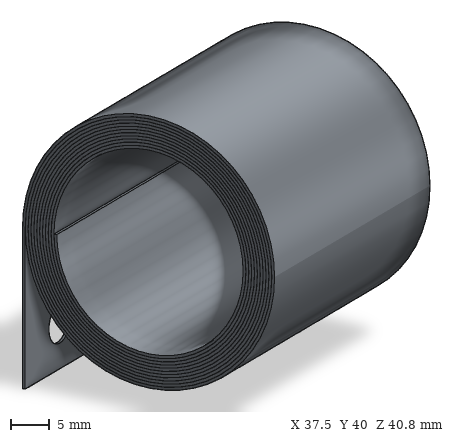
import cadquery as cq

strip_width = 40.0
strip_thickness = 0.4
coil_gap = 0.02
turns = 11
coil_radius = 18.75
tail_length = 22.0

hole_diameter = 5.5
hole_spacing = 22.2
hole_height = 6.27

pitch = strip_thickness + coil_gap
radius_step = pitch / 2
half_turns = 2 * turns


def half_turn(index):
    """Return centre X, outer radius and side (+1 upper, -1 lower) of one half turn."""
    if index % 2 == 0:
        return 0.0, coil_radius - index * radius_step, 1
    return radius_step, coil_radius - index * radius_step, -1


def add_half_turn(outline, index, inset, direction):
    """Draw one half turn, inset from the outer face; direction +1 winds inward."""
    center, outer_radius, side = half_turn(index)
    radius = outer_radius - inset
    end = center + direction * side * radius
    return outline.threePointArc((center, side * radius), (end, 0))


def spring_outline():
    """Follow the outer face inward, then return along the inner face."""
    outline = cq.Workplane("XZ", origin=(0, strip_width / 2, 0))
    outline = outline.moveTo(-coil_radius, -tail_length).lineTo(-coil_radius, 0)
    for index in range(half_turns):
        outline = add_half_turn(outline, index, 0, 1)

    center, outer_radius, _ = half_turn(half_turns - 1)
    outline = outline.lineTo(center - outer_radius + strip_thickness, 0)
    for index in reversed(range(half_turns)):
        outline = add_half_turn(outline, index, strip_thickness, -1)
    return outline.lineTo(-coil_radius + strip_thickness, -tail_length).close()


def tail_holes():
    """Make cutters that reach through the tail only, not the coil behind it."""
    hole_z = hole_height - tail_length
    return (
        cq.Workplane("YZ", origin=(-coil_radius, 0, hole_z))
        .pushPoints([(-hole_spacing / 2, 0), (hole_spacing / 2, 0)])
        .circle(hole_diameter / 2)
        .extrude(strip_thickness)
    )


spring = spring_outline().extrude(strip_width)
result = spring.cut(tail_holes())